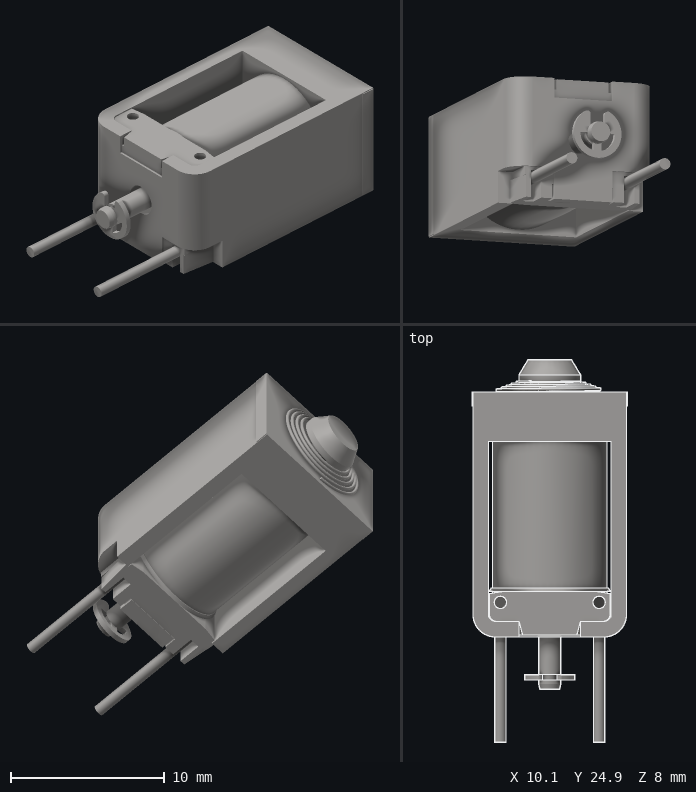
import cadquery as cq
import math


frame_width = 10.0
frame_height = 8.0
frame_length = 15.95
frame_corner_radius = 1.5
wall = 1.02
rear_block_thickness = 3.24
window_corner_radius = 0.5
window_width = frame_width - 2 * wall
window_rear = frame_length - rear_block_thickness
frame_top = frame_height / 2
frame_bottom = -frame_top
shaft_hole_radius = 1.02
pad_thickness = 0.05
pad_length = 0.92
pad_height = 7.87

notch_half_width = 2.0
top_notch_depth = 1.3
corner_notch_top = -1.92
corner_notch_rear = 2.56

fit_gap = 0.05
block_half_width = window_width / 2 - fit_gap
block_height = frame_height - 2 * fit_gap
block_top = block_height / 2
block_bottom = -block_top
block_rear = 3.0
block_rear_bevel_width = 1.0
block_rear_bevel_length = 0.15
face_recess = 0.15
tongue_tip_half_width = 1.77
tongue_base_height = 0.55
flange_small_radius = 3.8

coil_radius = 3.74
coil_front = 3.2
coil_rear_embed = 0.25

foot_taper_top = -2.47
foot_rear_x = 4.15
foot_front_x = 3.9
foot_inner_step_z = -3.01
foot_inner_step = 0.12
lead_x = 3.2
lead_z = -2.55
lead_radius = 0.37
lead_front = -6.85
lead_slot_width = 0.7
lead_slot_rear = 1.75
lead_hole_radius = 0.4
lead_hole_y = 2.27

shaft_radius = 0.72
shaft_front = -3.39
shaft_chamfer_length = 0.32
shaft_chamfer_depth = 0.07
groove_radius = 0.52
knob_radius = 2.02
knob_tip_radius = 1.42
knob_rear = 18.05
knob_taper_length = 1.0
knob_front = 16.63

clip_front = -2.8
clip_thickness = 0.35
clip_radius = 1.65
clip_gap = 0.97
clip_tip_radius = 0.22
clip_relief_radius = 1.2
clip_prong_width = 0.52

spring_wire_radius = 0.1
spring_large_radius = 3.49
spring_turns = 4.4
spring_pitch = 0.12
spring_radius_step = 0.32
spring_seat_embed = 0.02


def box(x0, x1, y0, y1, z0, z1):
    """Box between opposite corners."""
    return cq.Workplane("XY").box(x1 - x0, y1 - y0, z1 - z0, centered=False).translate((x0, y0, z0))


def rod(radius, y0, y1, x=0, z=0):
    """Cylinder along Y."""
    return cq.Workplane("XZ", origin=(x, y0, z)).circle(radius).extrude(y0 - y1)


def prism(points, z0, z1):
    """Vertical prism on a plan outline."""
    return cq.Workplane("XY", origin=(0, 0, z0)).polyline(points).close().extrude(z1 - z0)


def both_sides(solid):
    """A solid together with its mirror image across the YZ plane."""
    return solid.union(solid.mirror("YZ"))


def make_frame():
    half_width = frame_width / 2
    half_window = window_width / 2
    frame = box(-half_width, half_width, 0, frame_length, frame_bottom, frame_top)
    frame = frame.edges("|Z and <Y").fillet(frame_corner_radius)
    window = box(-half_window, half_window, wall, window_rear, frame_bottom, frame_top)
    window = window.edges("|Z and <Y").fillet(window_corner_radius)
    frame = frame.cut(window)
    frame = frame.cut(rod(shaft_hole_radius, 0, wall))
    frame = frame.cut(box(
        -notch_half_width, notch_half_width, 0, wall, frame_top - top_notch_depth, frame_top))
    corner_notch = box(notch_half_width, half_width, 0, corner_notch_rear, frame_bottom, corner_notch_top)
    frame = frame.cut(both_sides(corner_notch))
    pad_half_width = half_width + pad_thickness
    pads = box(
        -pad_half_width, pad_half_width, frame_length - pad_length, frame_length,
        -pad_height / 2, pad_height / 2)
    return frame.union(pads)


def make_tongue():
    """Tongue that fills the top notch, with tapered cheeks above a full-width base."""
    base_z = frame_top - top_notch_depth
    cheek_z = base_z + tongue_base_height
    base = box(-notch_half_width, notch_half_width, face_recess, wall, base_z, cheek_z)
    cheeks = prism(
        [
            (-notch_half_width, wall),
            (-tongue_tip_half_width, face_recess),
            (tongue_tip_half_width, face_recess),
            (notch_half_width, wall),
        ],
        cheek_z, block_top)
    return base.union(cheeks)


def make_feet():
    """Feet that fill the lower corner notches and carry the lead wires."""
    upper = box(
        notch_half_width, window_width / 2, face_recess, corner_notch_rear,
        foot_taper_top, corner_notch_top)
    lower = prism(
        [
            (notch_half_width, face_recess),
            (foot_front_x, face_recess),
            (foot_rear_x, corner_notch_rear),
            (notch_half_width, corner_notch_rear),
        ],
        block_bottom, foot_taper_top)
    inner_relief = box(
        notch_half_width, notch_half_width + foot_inner_step, face_recess, wall,
        block_bottom, foot_inner_step_z)
    return both_sides(upper.union(lower).cut(inner_relief))


def make_block():
    """Front bobbin block with its feet, coil and lead wires."""
    bevel_x = block_half_width - block_rear_bevel_width
    bevel_y = block_rear - block_rear_bevel_length
    block = prism(
        [
            (-block_half_width, wall),
            (block_half_width, wall),
            (block_half_width, bevel_y),
            (bevel_x, block_rear),
            (-bevel_x, block_rear),
            (-block_half_width, bevel_y),
        ],
        block_bottom, block_top)
    block = block.edges("|Z and <Y").fillet(window_corner_radius)
    flange = (
        cq.Workplane("XZ", origin=(0, block_rear, 0)).circle(block_top)
        .workplane(offset=block_rear - coil_front).circle(flange_small_radius).loft())
    block = block.union(flange).union(make_tongue()).union(make_feet())

    lead_hole = cq.Workplane("XY").center(lead_x, lead_hole_y).circle(lead_hole_radius).extrude(block_top)
    block = block.cut(both_sides(lead_hole))
    block = block.union(rod(coil_radius, wall, window_rear + coil_rear_embed))

    slot_half_width = lead_slot_width / 2
    lead_slot = box(
        lead_x - slot_half_width, lead_x + slot_half_width, face_recess, lead_slot_rear,
        block_bottom, lead_z + lead_radius)
    lead = rod(lead_radius, lead_front, lead_slot_rear, lead_x, lead_z)
    return block.cut(both_sides(lead_slot)).union(both_sides(lead))


def make_plunger():
    """Shaft, clip groove and tapered knob, turned about Y."""
    shaft_tip_radius = shaft_radius - shaft_chamfer_depth
    clip_rear = clip_front + clip_thickness
    profile = [
        (0, shaft_front),
        (shaft_tip_radius, shaft_front),
        (shaft_radius, shaft_front + shaft_chamfer_length),
        (shaft_radius, clip_front),
        (groove_radius, clip_front),
        (groove_radius, clip_rear),
        (shaft_radius, clip_rear),
        (shaft_radius, knob_front),
        (knob_radius, knob_front),
        (knob_radius, knob_rear - knob_taper_length),
        (knob_tip_radius, knob_rear),
        (0, knob_rear),
    ]
    return cq.Workplane("XY").polyline(profile).close().revolve(360, (0, 0, 0), (0, 1, 0))


def make_clip():
    """E-shaped retaining clip, open toward +Z, gripping the shaft groove."""
    clip_rear = clip_front + clip_thickness
    clip = rod(clip_radius, clip_front, clip_rear)
    clip = clip.cut(box(-clip_gap / 2, clip_gap / 2, clip_front, clip_rear, 0, clip_radius))
    clip = clip.edges("|Y and >Z").fillet(clip_tip_radius)
    relief = rod(clip_relief_radius, clip_front, clip_rear)
    relief = relief.intersect(
        box(clip_prong_width / 2, clip_radius, clip_front, clip_rear, -clip_radius, 0))
    return clip.cut(both_sides(relief))


def make_spring():
    """Right-handed conical spring between the frame and the knob, its large end at -Z."""
    height = spring_turns * spring_pitch
    small_radius = spring_large_radius - spring_turns * spring_radius_step
    cone_angle = math.degrees(math.atan(spring_radius_step / spring_pitch))
    slope_pitch = math.hypot(spring_pitch, spring_radius_step)
    slope_length = spring_turns * slope_pitch
    helix = cq.Wire.makeHelix(slope_pitch, slope_length, small_radius, angle=cone_angle)
    wire_section = cq.Workplane("XZ", origin=(small_radius, 0, 0)).circle(spring_wire_radius)
    spring = wire_section.sweep(cq.Workplane(obj=helix), isFrenet=True)
    seat = frame_length + spring_wire_radius - spring_seat_embed
    spring = spring.rotate((0, 0, 0), (0, 0, 1), -360 * spring_turns)
    spring = spring.rotate((0, 0, 0), (1, 0, 0), 90)
    spring = spring.rotate((0, 0, 0), (0, 1, 0), 90)
    return spring.translate((0, seat + height, 0))


result = make_frame().union(make_block()).union(make_plunger()).union(make_clip()).union(make_spring())